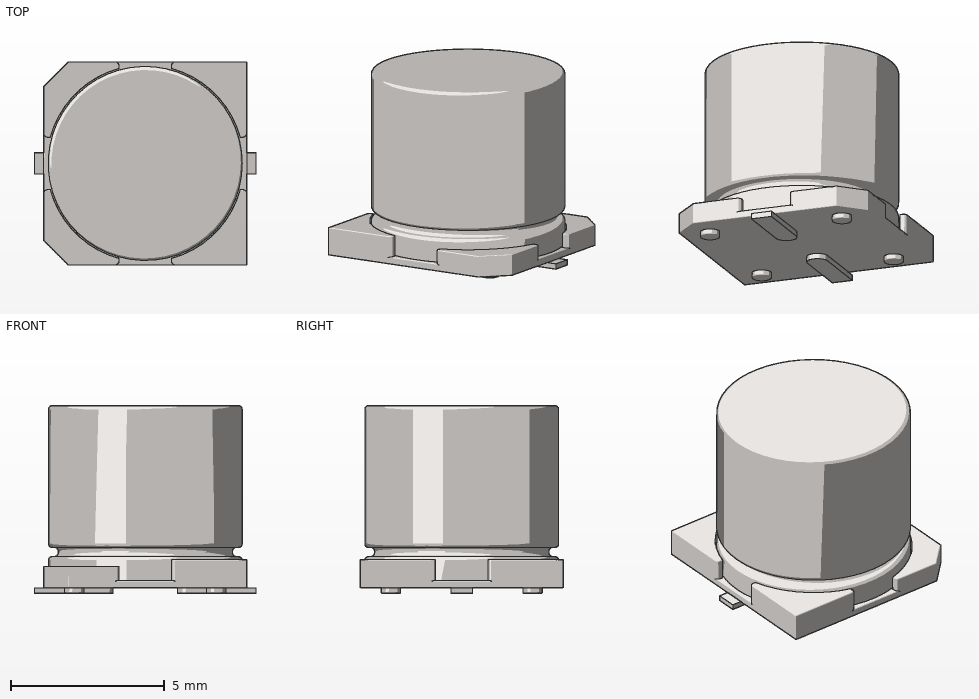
import cadquery as cq

total_height = 6.1
lead_span = 7.2
base_width = 6.6

base_bottom = 0.18
floor_top = 0.42
low_corner_top = 0.88
high_corner_top = 1.1
corner_chamfer = 0.8
notch_half_width = 0.85
notch_mouth_round = 0.14
edge_round = 0.035
bore_diameter = 6.4

can_diameter = 6.3
can_top_round = 0.13
groove_diameter = 5.67
groove_bottom = 1.2
groove_top = 1.49
groove_root_round = 0.12
lower_lip_round = 0.13
upper_lip_round = 0.12

lead_width = 0.7
lead_inner_end = 1.04
foot_diameter = 0.63
foot_offset = 2.3
foot_round = 0.04

half_width = base_width / 2


def make_plate():
    """Thin floor of the base, with the two -X corners cut off."""
    height = floor_top - base_bottom
    plate = (
        cq.Workplane("XY").workplane(offset=base_bottom)
        .rect(base_width, base_width).extrude(height)
    )
    plate = plate.edges("|Z and <X").chamfer(corner_chamfer)
    return plate.edges().fillet(edge_round)


def make_corner(x_side, y_side):
    """Raised corner block; the -X ones are lower and have a chamfered corner."""
    is_low = x_side < 0
    top = low_corner_top if is_low else high_corner_top
    inner = notch_half_width
    cut = half_width - corner_chamfer
    if is_low:
        outer_corner = [(half_width, cut), (cut, half_width)]
    else:
        outer_corner = [(half_width, half_width)]
    outline = [(inner, inner), (half_width, inner)] + outer_corner + [(inner, half_width)]
    points = [(x_side * x, y_side * y) for x, y in outline]

    bottom = floor_top - edge_round
    block = cq.Workplane("XY").workplane(offset=bottom).polyline(points).close().extrude(top - bottom)

    upright_rounds = [
        (half_width, inner, notch_mouth_round),
        (inner, half_width, notch_mouth_round),
    ]
    upright_rounds += [(x, y, edge_round) for x, y in outer_corner]
    middle = (bottom + top) / 2
    for x, y, radius in upright_rounds:
        upright = cq.selectors.NearestToPointSelector((x_side * x, y_side * y, middle))
        block = block.edges(upright).fillet(radius)
    block = block.faces(">Z").edges().fillet(edge_round)

    bore = cq.Workplane("XY").workplane(offset=bottom).circle(bore_diameter / 2).extrude(top)
    return block.cut(bore)


def make_can():
    """Revolved can standing on the base floor, with a rolled groove near its foot."""
    radius = can_diameter / 2
    root = groove_diameter / 2
    profile = (
        cq.Workplane("XZ")
        .moveTo(0, floor_top)
        .lineTo(radius, floor_top)
        .lineTo(radius, groove_bottom - lower_lip_round)
        .radiusArc((radius - lower_lip_round, groove_bottom), -lower_lip_round)
        .lineTo(root + groove_root_round, groove_bottom)
        .radiusArc((root, groove_bottom + groove_root_round), groove_root_round)
        .lineTo(root, groove_top - groove_root_round)
        .radiusArc((root + groove_root_round, groove_top), groove_root_round)
        .lineTo(radius - upper_lip_round, groove_top)
        .radiusArc((radius, groove_top + upper_lip_round), -upper_lip_round)
        .lineTo(radius, total_height - can_top_round)
        .radiusArc((radius - can_top_round, total_height), -can_top_round)
        .lineTo(0, total_height)
        .close()
    )
    return profile.revolve(360, (0, 0, 0), (0, 1, 0))


def make_lead(x_side):
    """Flat lead under the base with a full-round inner end."""
    end_radius = lead_width / 2
    round_center = lead_inner_end + end_radius
    length = lead_span / 2 - round_center
    strip = (
        cq.Workplane("XY").center(x_side * (round_center + length / 2), 0)
        .rect(length, lead_width).extrude(base_bottom)
    )
    inner_end = cq.Workplane("XY").center(x_side * round_center, 0).circle(end_radius).extrude(base_bottom)
    return strip.union(inner_end)


def make_feet():
    """Four round support feet with rounded bottom rims."""
    spacing = 2 * foot_offset
    feet = (
        cq.Workplane("XY").rect(spacing, spacing, forConstruction=True).vertices()
        .circle(foot_diameter / 2).extrude(base_bottom)
    )
    return feet.faces("<Z").edges().fillet(foot_round)


result = make_plate()
for x_side in (-1, 1):
    for y_side in (-1, 1):
        result = result.union(make_corner(x_side, y_side))
    result = result.union(make_lead(x_side))
result = result.union(make_feet()).union(make_can())